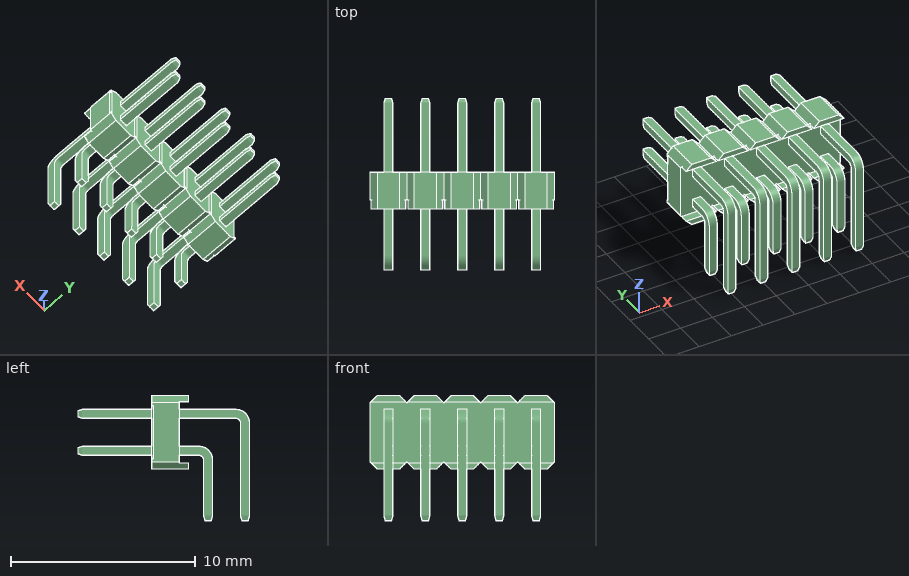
import cadquery as cq
import math


pitch = 2.0
column_count = 5
body_height = 4.0
core_depth = 1.5
lip_reach = 0.5
lip_thickness = 0.35
corner_cut = 0.4
groove_depth = 0.1
groove_end_margin = 0.53
groove_end_rise = 0.05

pin_width = 0.5
rear_tip_length = 0.25
tail_tip_length = 0.28
tip_inset = 0.08
inner_bend_radius = 0.25
rear_reach = 4.0
tail_drop = 2.8
first_tail_offset = 1.05

body_depth = core_depth + lip_reach
half_pin = pin_width / 2
centre_bend_radius = inner_bend_radius + half_pin
rear_tip_y = body_depth + rear_reach
column_centres = [(i - (column_count - 1) / 2) * pitch for i in range(column_count)]
cell_boundaries = [(i - column_count / 2) * pitch for i in range(column_count + 1)]
row_heights = [body_height / 2 - pitch / 2, body_height / 2 + pitch / 2]


def make_cell(x_centre):
    """One octagonal body cell, hollowed at the front between its two lips."""
    cell = (
        cq.Workplane("XY")
        .box(pitch, body_depth, body_height, centered=(True, False, False))
        .edges("|Y")
        .chamfer(corner_cut)
    )
    recess = (
        cq.Workplane("XY")
        .box(pitch, lip_reach, body_height - 2 * lip_thickness, centered=(True, False, False))
        .translate((0, 0, lip_thickness))
    )
    return cell.cut(recess).translate((x_centre, 0, 0))


def make_groove(x_centre):
    """Vertical V-groove cutter for the rear face at a cell boundary, with sloping ends."""
    groove_floor = body_depth - groove_depth
    groove_top = body_height - groove_end_margin
    vee = (
        cq.Workplane("XY")
        .moveTo(-groove_depth, body_depth)
        .lineTo(0, groove_floor)
        .lineTo(groove_depth, body_depth)
        .close()
        .extrude(body_height)
    )
    side_profile = (
        cq.Workplane("YZ")
        .moveTo(body_depth, groove_end_margin)
        .lineTo(groove_floor, groove_end_margin + groove_end_rise)
        .lineTo(groove_floor, groove_top - groove_end_rise)
        .lineTo(body_depth, groove_top)
        .close()
        .extrude(groove_depth, both=True)
    )
    return vee.intersect(side_profile).translate((x_centre, 0, 0))


def make_tip(base_plane, tip_length):
    """Tapered square end that starts on the given plane and points along its normal."""
    taper_angle = math.degrees(math.atan2(tip_inset, tip_length))
    return cq.Workplane(base_plane).rect(pin_width, pin_width).extrude(tip_length, taper=taper_angle)


def make_pin(x_centre, row_height, tail_y):
    """Square pin running forward from the rear, then bending down into its tail."""
    rear_shoulder = rear_tip_y - rear_tip_length
    tail_shoulder = tail_tip_length - tail_drop
    bend_start_y = tail_y + centre_bend_radius
    bend_end_z = row_height - centre_bend_radius
    bend_offset = centre_bend_radius * math.sqrt(0.5)
    path = (
        cq.Workplane("YZ", origin=(x_centre, 0, 0))
        .moveTo(rear_shoulder, row_height)
        .lineTo(bend_start_y, row_height)
        .threePointArc(
            (bend_start_y - bend_offset, bend_end_z + bend_offset),
            (tail_y, bend_end_z),
        )
        .lineTo(tail_y, tail_shoulder)
    )
    rear_plane = cq.Plane(origin=(x_centre, rear_shoulder, row_height), xDir=(1, 0, 0), normal=(0, 1, 0))
    tail_plane = cq.Plane(origin=(x_centre, tail_y, tail_shoulder), xDir=(1, 0, 0), normal=(0, 0, -1))
    shaft = cq.Workplane(rear_plane).rect(pin_width, pin_width).sweep(path)
    rear_tip = make_tip(rear_plane, rear_tip_length)
    tail_tip = make_tip(tail_plane, tail_tip_length)
    return shaft.union(rear_tip).union(tail_tip)


result = make_cell(column_centres[0])
for column_x in column_centres[1:]:
    result = result.union(make_cell(column_x))

for boundary_x in cell_boundaries:
    result = result.cut(make_groove(boundary_x))

for column_x in column_centres:
    for row, height in enumerate(row_heights):
        result = result.union(make_pin(column_x, height, -first_tail_offset - row * pitch))